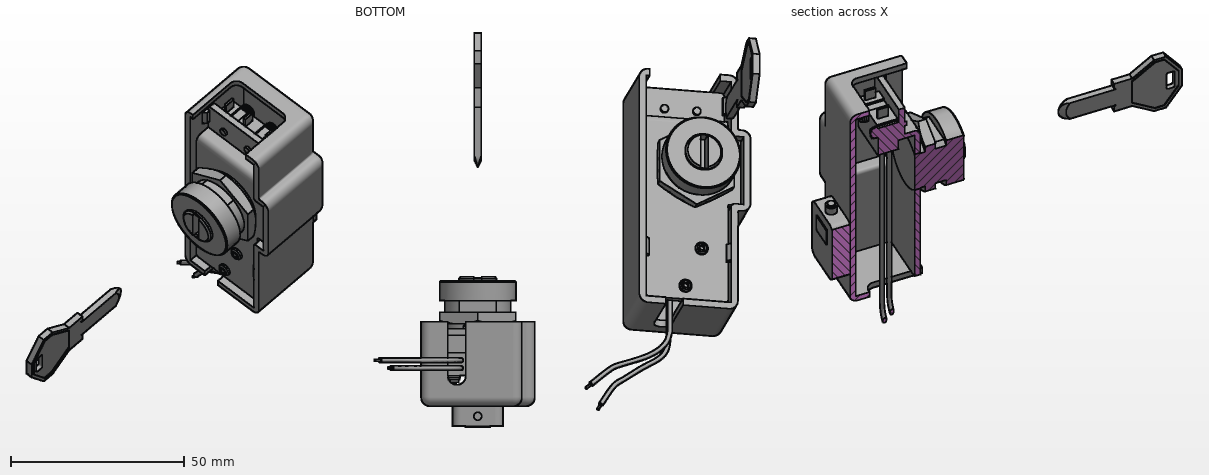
import cadquery as cq
import math


HOUSING_LEFT, HOUSING_RIGHT = -16.4, 12.7
HOUSING_BOTTOM, HOUSING_TOP = -43.1, 29.2
HOUSING_DEPTH = 24.5
BULGE_RIGHT = 16.5
BULGE_HALF_HEIGHT = 12.5
WALL = 2.0
OUTER_RADIUS = 2.6
BULGE_FOOT_RADIUS = 0.6
CAVITY_STEP_RADIUS = 1.1
BULGE_CAVITY_HALF_HEIGHT = 10.5

WINDOW_LEFT, WINDOW_RIGHT = -13.3, 7.5
OPENING_BACK = 18.2
WINDOW_RADIUS = 2.4
CABLE_SLOT_X = -6.0
CABLE_SLOT_WIDTH = 5.1

SNAP_LENGTH = 5.1
SNAP_HEIGHT = 1.0
SNAP_DEPTH = 2.0
UPPER_SNAP_Z = 22.0
LOWER_SNAP_Z = -25.4

SHEET = 1.9
PLATE_GAP = 0.5
PLATE_FRONT = 2.0
UPPER_PLATE_FRONT = 7.0
PLATE_TOP, PLATE_BOTTOM = 26.3, -40.4
PLATE_TOP_RADIUS, PLATE_RADIUS = 1.1, 0.7
STEP_TOP = 16.2
BEND_RADIUS = 2.0

BLOCK_LEFT, BLOCK_RIGHT = -12.5, 7.0
BLOCK_BOTTOM, BLOCK_TOP = 10.8, 22.1
BLOCK_BACK = 15.6
BLADE_PLACES = (-10.8, -3.4, 5.3)
BLADE_THICKNESS = 0.7
BLADE_FRONT, BLADE_BACK = 11.0, 14.2
BLADE_TOP = 25.6

BLOCK_SCREW_PLACES = (-7.5, 2.0)
BLOCK_SCREW_Z = 19.9
BLOCK_SCREW_RADIUS = 1.1
BLOCK_SCREW_FRONT = 6.4
NOTCH_WIDTH = 3.0
NOTCH_DEPTH = 0.7
BLOCK_SCREW_STAGES = ((2.4, 16.2), (2.3, 16.8), (2.0, 17.5), (1.3, 17.9))

FACE_SCREW_PLACES = ((2.4, -24.5), (-2.4, -36.4))
FACE_SCREW_RADIUS = 1.8
FACE_SCREW_HEIGHT = 1.1
FACE_SCREW_CHAMFER = 0.5
FACE_SCREW_SOCKET_RADIUS = 0.8

WIRE_RADIUS = 0.7
WIRE_CORE_RADIUS = 0.3
WIRE_X = -4.9
WIRES = (
    (
        11.1,
        ((WIRE_X, -46.1), (-6.6, -51.4), (-12.6, -55.9), (-19.7, -58.7), (-28.2, -65.4)),
        (-29.7, -66.8),
    ),
    (
        13.4,
        ((WIRE_X, -47.8), (-5.9, -52.9), (-12.2, -57.9), (-18.3, -62.3), (-24.8, -70.5)),
        (-25.7, -72.1),
    ),
)

NECK_RADIUS = 9.5
NECK_HALF_HEIGHT = 8.0
NUT_FLATS = 22.0
NUT_BACK, NUT_FRONT = 0.7, -2.7
NUT_CHAMFER = 0.9
HEAD_RADIUS = 11.0
HEAD_BACK, HEAD_FRONT = -6.0, -11.7
HEAD_CHAMFER = 0.3
PLUG_RADIUS = 5.5
PLUG_FRONT = -13.0
PLUG_CHAMFER = 0.6
KEYWAY_WIDTH = 2.3
KEYWAY_LENGTH = 10.5
KEYWAY_DEPTH = 4.5

REAR_WIDTH, REAR_DEPTH = 14.7, 5.7
REAR_BOTTOM, REAR_TOP = -32.8, -11.8
REAR_RADIUS = 2.4
PAD_WIDTH, PAD_HEIGHT, PAD_THICKNESS = 7.2, 5.5, 0.3
PAD_Z = -18.1
PIN_Y = 27.3
PIN_RADIUS = 1.1
PIN_BOTTOM, PIN_TOP = -33.1, -8.9
COLLAR_RADIUS = 1.7
COLLAR_TOP = -9.4

KEY_THICKNESS = 2.0
KEY_TIP, KEY_END = -44.5, -83.3
BLADE_HALF_WIDTH = 3.1
SHOULDER_HALF_WIDTH = 5.3
SHOULDER_Y = -61.8
SHOULDER_UNDERCUT = 0.5
BOW_START, BOW_WIDE_START, BOW_WIDE_END = -67.5, -74.4, -78.2
BOW_HALF_WIDTH = 9.9
BOW_RIM = 1.0
BOW_RECESS_DEPTH = 0.2
KEY_HOLE_Y = -79.8
KEY_HOLE_WIDTH, KEY_HOLE_HEIGHT = 2.6, 6.1
KEY_HOLE_RADIUS = 0.6
TIP_CONE_FACE_RADIUS, TIP_CONE_EDGE_RADIUS = 4.2, 6.3


def box(left, right, front, back, bottom, top):
    """Box given by its limits along X, Y and Z."""
    size = (right - left, back - front, top - bottom)
    return cq.Workplane().box(*size, centered=False).translate((left, front, bottom))


def rod(radius, start, end, x=0.0, z=0.0):
    """Cylinder along Y between two y values."""
    circle = cq.Workplane("XZ", origin=(x, start, z)).circle(radius)
    return circle.extrude(start - end)


def upright(radius, bottom, top, x=0.0, y=0.0):
    """Cylinder along Z between two z values."""
    return cq.Workplane(origin=(x, y, bottom)).circle(radius).extrude(top - bottom)


def rounded_case(left, right, bottom, top):
    """Box as deep as the housing, with its long corners and its back edges rounded."""
    case = box(left, right, 0, HOUSING_DEPTH, bottom, top)
    return case.edges("|Y").fillet(OUTER_RADIUS).faces(">Y").edges().fillet(OUTER_RADIUS)


def stepped_prism(limits, bulge_right, bulge_half_height, front, back, step_radius):
    """Prism along Y with a bulge on its right; the corners into the bulge are rounded."""
    left, right, bottom, top = limits
    prism = box(left, right, front, back, bottom, top)
    prism = prism.union(box(left, bulge_right, front, back, -bulge_half_height, bulge_half_height))
    corners = cq.selectors.BoxSelector(
        (right - step_radius, front - 1.1, -bulge_half_height - step_radius),
        (right + step_radius, back + 1.1, bulge_half_height + step_radius),
    )
    return prism.edges("|Y").edges(corners).fillet(step_radius)


def snap(wall_x, inward, front, middle_z):
    """Snap bead on a side wall, with a sloped front and a square back."""
    tip_x = wall_x + inward * SNAP_HEIGHT
    profile = [
        (wall_x, front),
        (tip_x, front + SNAP_HEIGHT),
        (tip_x, front + SNAP_DEPTH),
        (wall_x, front + SNAP_DEPTH),
    ]
    bottom = middle_z - SNAP_LENGTH / 2
    return cq.Workplane(origin=(0, 0, bottom)).polyline(profile).close().extrude(SNAP_LENGTH)


def make_housing():
    body = rounded_case(HOUSING_LEFT, HOUSING_RIGHT, HOUSING_BOTTOM, HOUSING_TOP)
    body = body.union(rounded_case(0, BULGE_RIGHT, -BULGE_HALF_HEIGHT, BULGE_HALF_HEIGHT))
    bulge_feet = cq.selectors.BoxSelector(
        (HOUSING_RIGHT - BULGE_FOOT_RADIUS, 0, -BULGE_HALF_HEIGHT - BULGE_FOOT_RADIUS),
        (HOUSING_RIGHT + BULGE_FOOT_RADIUS, HOUSING_DEPTH, BULGE_HALF_HEIGHT + BULGE_FOOT_RADIUS),
    )
    body = body.edges("|Y").edges(bulge_feet).fillet(BULGE_FOOT_RADIUS)

    cavity_left, cavity_right = HOUSING_LEFT + WALL, HOUSING_RIGHT - WALL
    cavity_bottom, cavity_top = HOUSING_BOTTOM + WALL, HOUSING_TOP - WALL
    cavity = stepped_prism(
        (cavity_left, cavity_right, cavity_bottom, cavity_top),
        BULGE_RIGHT - WALL,
        BULGE_CAVITY_HALF_HEIGHT,
        0,
        HOUSING_DEPTH - WALL,
        CAVITY_STEP_RADIUS,
    )
    body = body.cut(cavity)

    window = box(WINDOW_LEFT, WINDOW_RIGHT, 0, OPENING_BACK, cavity_top, HOUSING_TOP)
    body = body.cut(window.edges("|Z and >Y").fillet(WINDOW_RADIUS))

    slot_radius = CABLE_SLOT_WIDTH / 2
    slot_center_y = OPENING_BACK - slot_radius
    slot = box(
        CABLE_SLOT_X - slot_radius,
        CABLE_SLOT_X + slot_radius,
        0,
        slot_center_y,
        HOUSING_BOTTOM,
        cavity_bottom,
    )
    slot = slot.union(upright(slot_radius, HOUSING_BOTTOM, cavity_bottom, CABLE_SLOT_X, slot_center_y))
    body = body.cut(slot)

    for wall_x, inward in ((cavity_left, 1), (cavity_right, -1)):
        for plate_front, middle_z in ((UPPER_PLATE_FRONT, UPPER_SNAP_Z), (PLATE_FRONT, LOWER_SNAP_Z)):
            body = body.union(snap(wall_x, inward, plate_front - SNAP_DEPTH, middle_z))
    return body


def make_neck():
    """Round neck from the back of the plate forward; its flats reach into the front of the nut."""
    neck = rod(NECK_RADIUS, HEAD_BACK, PLATE_FRONT + SHEET)
    for bottom, top in ((NECK_HALF_HEIGHT, NECK_RADIUS), (-NECK_RADIUS, -NECK_HALF_HEIGHT)):
        neck = neck.cut(box(-NECK_RADIUS, NECK_RADIUS, HEAD_BACK, NUT_BACK, bottom, top))
    return neck


def make_nut():
    """Hexagonal nut with a round bore, a point at the top and coned back corners."""
    corner_diameter = NUT_FLATS / math.cos(math.pi / 6)
    hexagon = cq.Workplane("XZ", origin=(0, NUT_BACK, 0)).polygon(6, corner_diameter)
    nut = hexagon.extrude(NUT_BACK - NUT_FRONT).rotate((0, 0, 0), (0, 1, 0), 90)
    nut = nut.cut(rod(NECK_RADIUS, NUT_FRONT, NUT_BACK))
    back_radius = NUT_FLATS / 2
    full_radius = corner_diameter / 2
    envelope = [
        (0, NUT_BACK),
        (back_radius, NUT_BACK),
        (full_radius, NUT_BACK - NUT_CHAMFER),
        (full_radius, NUT_FRONT),
        (0, NUT_FRONT),
    ]
    return nut.intersect(cq.Workplane().polyline(envelope).close().revolve(360, (0, 0), (0, 1)))


def make_lock():
    head = rod(HEAD_RADIUS, HEAD_FRONT, HEAD_BACK).faces("<Y").chamfer(HEAD_CHAMFER)
    plug = rod(PLUG_RADIUS, PLUG_FRONT, HEAD_FRONT).faces("<Y").chamfer(PLUG_CHAMFER)
    keyway = box(
        -KEYWAY_WIDTH / 2,
        KEYWAY_WIDTH / 2,
        PLUG_FRONT,
        PLUG_FRONT + KEYWAY_DEPTH,
        -KEYWAY_LENGTH / 2,
        KEYWAY_LENGTH / 2,
    )
    return make_neck().union(make_nut()).union(head).union(plug).cut(keyway)


def make_plate():
    """Sheet bent back in a step above the lock, with a round hole for the neck of the lock."""
    upper_back = UPPER_PLATE_FRONT + SHEET
    plate_left = HOUSING_LEFT + WALL + PLATE_GAP
    plate_right = HOUSING_RIGHT - WALL - PLATE_GAP
    outline = stepped_prism(
        (plate_left, plate_right, PLATE_BOTTOM, PLATE_TOP),
        BULGE_RIGHT - WALL - PLATE_GAP,
        BULGE_CAVITY_HALF_HEIGHT - PLATE_GAP,
        PLATE_FRONT,
        upper_back,
        PLATE_RADIUS,
    )
    outline = outline.edges("|Y and >Z").fillet(PLATE_TOP_RADIUS)
    outline = outline.edges("|Y and <Z").fillet(PLATE_RADIUS)

    bend = (
        cq.Workplane("YZ", origin=(plate_left, 0, 0))
        .moveTo(PLATE_FRONT, PLATE_BOTTOM)
        .lineTo(PLATE_FRONT, STEP_TOP - BEND_RADIUS)
        .radiusArc((PLATE_FRONT + BEND_RADIUS, STEP_TOP), BEND_RADIUS)
        .lineTo(UPPER_PLATE_FRONT, STEP_TOP)
        .lineTo(UPPER_PLATE_FRONT, PLATE_TOP)
        .lineTo(upper_back, PLATE_TOP)
        .lineTo(upper_back, STEP_TOP - SHEET)
        .lineTo(PLATE_FRONT + SHEET, STEP_TOP - SHEET)
        .lineTo(PLATE_FRONT + SHEET, PLATE_BOTTOM)
        .close()
        .extrude(BULGE_RIGHT - plate_left)
    )
    return outline.intersect(bend).cut(rod(NECK_RADIUS, PLATE_FRONT, PLATE_FRONT + SHEET))


def make_terminal_block():
    """Block behind the upper plate with its blades, and notches over its screws."""
    block_front = UPPER_PLATE_FRONT + SHEET
    block = box(BLOCK_LEFT, BLOCK_RIGHT, block_front, BLOCK_BACK, BLOCK_BOTTOM, BLOCK_TOP)
    for x in BLOCK_SCREW_PLACES:
        left, right = x - NOTCH_WIDTH / 2, x + NOTCH_WIDTH / 2
        block = block.cut(box(left, right, block_front, BLOCK_BACK, BLOCK_TOP - NOTCH_DEPTH, BLOCK_TOP))
    for x in BLADE_PLACES:
        left, right = x - BLADE_THICKNESS / 2, x + BLADE_THICKNESS / 2
        block = block.union(box(left, right, BLADE_FRONT, BLADE_BACK, BLOCK_TOP, BLADE_TOP))
    return block


def make_block_screw(x):
    """Screw through the plate and the block, with a washer and a head behind the block."""
    screw = rod(BLOCK_SCREW_RADIUS, BLOCK_SCREW_FRONT, BLOCK_BACK, x, BLOCK_SCREW_Z)
    start = BLOCK_BACK
    for radius, end in BLOCK_SCREW_STAGES:
        screw = screw.union(rod(radius, start, end, x, BLOCK_SCREW_Z))
        start = end
    return screw


def make_face_screw(x, z):
    """Chamfered screw head on the front of the plate, with a round socket."""
    front = PLATE_FRONT - FACE_SCREW_HEIGHT
    head = rod(FACE_SCREW_RADIUS, front, PLATE_FRONT, x, z).faces("<Y").chamfer(FACE_SCREW_CHAMFER)
    return head.cut(rod(FACE_SCREW_SOCKET_RADIUS, front, PLATE_FRONT, x, z))


def make_wire(y, bend_points, core_end):
    """Wire hanging from the terminal block, with a bare core at its end."""
    bend_start, insulation_end = bend_points[0], bend_points[-1]
    straight = upright(WIRE_RADIUS, bend_start[1], BLOCK_BOTTOM, WIRE_X, y)
    core_run = (core_end[0] - insulation_end[0], core_end[1] - insulation_end[1])
    path = cq.Workplane("XZ", origin=(0, y, 0)).spline(bend_points, tangents=[(0, -1), core_run])
    bent = cq.Workplane(origin=(WIRE_X, y, bend_start[1])).circle(WIRE_RADIUS).sweep(path)
    core = cq.Solid.makeCylinder(
        WIRE_CORE_RADIUS,
        math.hypot(*core_run),
        cq.Vector(insulation_end[0], y, insulation_end[1]),
        cq.Vector(core_run[0], 0, core_run[1]),
    )
    return straight.union(bent).union(cq.Workplane(core))


def make_carrier():
    carrier = make_plate().union(make_terminal_block())
    for x in BLOCK_SCREW_PLACES:
        carrier = carrier.union(make_block_screw(x))
    for x, z in FACE_SCREW_PLACES:
        carrier = carrier.union(make_face_screw(x, z))
    for y, bend_points, core_end in WIRES:
        carrier = carrier.union(make_wire(y, bend_points, core_end))
    return carrier


def make_rear_block():
    """Rounded block on the back of the housing, with an upright pin and a thin pad."""
    half_width = REAR_WIDTH / 2
    back = HOUSING_DEPTH + REAR_DEPTH
    block = box(-half_width, half_width, HOUSING_DEPTH, back, REAR_BOTTOM, REAR_TOP)
    block = block.edges("|Y").fillet(REAR_RADIUS)
    pad_bottom, pad_top = PAD_Z - PAD_HEIGHT / 2, PAD_Z + PAD_HEIGHT / 2
    pad = box(-PAD_WIDTH / 2, PAD_WIDTH / 2, back, back + PAD_THICKNESS, pad_bottom, pad_top)
    pin = upright(PIN_RADIUS, PIN_BOTTOM, PIN_TOP, y=PIN_Y)
    collar = upright(COLLAR_RADIUS, REAR_TOP, COLLAR_TOP, y=PIN_Y)
    return block.union(pad).union(pin).union(collar)


def mirrored_outline(half_outline):
    """Closed outline from its upper half, given as (y, z) points."""
    lower_half = [(y, -z) for y, z in reversed(half_outline)]
    return cq.Workplane("YZ").polyline(half_outline + lower_half).close()


def key_plate(half_outline):
    """Plate as thick as the key."""
    return mirrored_outline(half_outline).extrude(KEY_THICKNESS / 2, both=True)


def make_bow():
    """Wide grip of the key, recessed on both sides inside an even rim."""
    rear_points = [
        (BOW_WIDE_START, BOW_HALF_WIDTH),
        (BOW_WIDE_END, BOW_HALF_WIDTH),
        (KEY_END, BLADE_HALF_WIDTH),
    ]
    bow = key_plate([(BOW_START, SHOULDER_HALF_WIDTH)] + rear_points)

    flank_slope = (BOW_HALF_WIDTH - SHOULDER_HALF_WIDTH) / (BOW_START - BOW_WIDE_START)
    overrun = 2 * BOW_RIM
    overrun_point = (BOW_START + overrun, SHOULDER_HALF_WIDTH - overrun * flank_slope)
    core = mirrored_outline([overrun_point] + rear_points).offset2D(-BOW_RIM)
    core = core.extrude(KEY_THICKNESS / 2, both=True)
    web_half = KEY_THICKNESS / 2 - BOW_RECESS_DEPTH
    web = box(-web_half, web_half, KEY_END, BOW_START + overrun, -BOW_HALF_WIDTH, BOW_HALF_WIDTH)
    return bow.cut(core.cut(web))


def make_key_tip(center_y):
    """Round tip of the blade, thinned to an edge by a double cone."""
    half = KEY_THICKNESS / 2
    tip = cq.Workplane("YZ").center(center_y, 0).circle(BLADE_HALF_WIDTH).extrude(half, both=True)
    cone_y = KEY_TIP - TIP_CONE_EDGE_RADIUS
    profile = [
        (-half, cone_y),
        (-half, cone_y + TIP_CONE_FACE_RADIUS),
        (0, KEY_TIP),
        (half, cone_y + TIP_CONE_FACE_RADIUS),
        (half, cone_y),
    ]
    cone = cq.Workplane().polyline(profile).close().revolve(360, (0, cone_y), (1, cone_y))
    return tip.intersect(cone)


def make_key():
    tip_center = KEY_TIP - BLADE_HALF_WIDTH
    shank = key_plate([
        (tip_center, BLADE_HALF_WIDTH),
        (SHOULDER_Y - SHOULDER_UNDERCUT, BLADE_HALF_WIDTH),
        (SHOULDER_Y, BLADE_HALF_WIDTH + SHOULDER_UNDERCUT),
        (SHOULDER_Y, SHOULDER_HALF_WIDTH),
        (BOW_START, SHOULDER_HALF_WIDTH),
    ])
    hole = cq.Workplane("YZ").center(KEY_HOLE_Y, 0).rect(KEY_HOLE_WIDTH, KEY_HOLE_HEIGHT)
    hole = hole.extrude(KEY_THICKNESS, both=True).edges("|X").fillet(KEY_HOLE_RADIUS)
    return shank.union(make_key_tip(tip_center)).union(make_bow()).cut(hole)


housing = make_housing()
carrier = make_carrier()
lock = make_lock()
rear_block = make_rear_block()
key = make_key()

result = cq.Compound.makeCompound(
    [housing.val(), carrier.val(), lock.val(), rear_block.val(), key.val()]
)